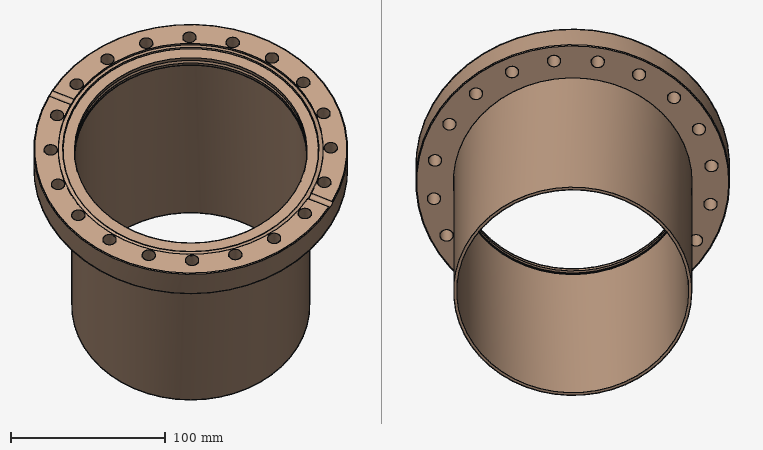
import cadquery as cq

total_height = 167.0
flange_diameter = 203.0
flange_thickness = 22.0
flange_chamfer = 0.6
flange_bottom = total_height - flange_thickness

recess_diameter = 171.3
recess_depth = 1.6
knife_edge_diameter = 165.9
knife_edge_depth = 0.6
seal_floor_diameter = 165.0
seal_floor_depth = 1.6

bore_diameter = 150.5
groove_diameter = 154.0
groove_top_depth = 4.5
groove_bottom_depth = 7.3

tube_outer_diameter = 154.0
tube_inner_diameter = 150.0
socket_diameter = 154.5
socket_shoulder_depth = 9.3

bolt_count = 20
bolt_circle_diameter = 181.0
bolt_hole_diameter = 8.5
bolt_pitch = 360 / bolt_count

leak_groove_width = 4.9
leak_groove_depth = 1.2
leak_groove_radius = (leak_groove_width**2 / 4 + leak_groove_depth**2) / (2 * leak_groove_depth)


def ring(outer_diameter, inner_diameter, bottom, top):
    """Plain ring about the Z axis."""
    return (
        cq.Workplane("XY")
        .workplane(offset=bottom)
        .circle(outer_diameter / 2)
        .circle(inner_diameter / 2)
        .extrude(top - bottom)
    )


def flange_blank():
    """Revolved flange with recess, knife edge, weld groove and tube socket."""
    outer_radius = flange_diameter / 2
    bore_radius = bore_diameter / 2
    socket_shoulder = total_height - socket_shoulder_depth
    profile = [
        (socket_diameter / 2, flange_bottom),
        (outer_radius - flange_chamfer, flange_bottom),
        (outer_radius, flange_bottom + flange_chamfer),
        (outer_radius, total_height - flange_chamfer),
        (outer_radius - flange_chamfer, total_height),
        (recess_diameter / 2, total_height),
        (recess_diameter / 2, total_height - recess_depth),
        (knife_edge_diameter / 2, total_height - knife_edge_depth),
        (seal_floor_diameter / 2, total_height - seal_floor_depth),
        (bore_radius, total_height - seal_floor_depth),
        (bore_radius, total_height - groove_top_depth),
        (groove_diameter / 2, total_height - groove_top_depth),
        (bore_radius, total_height - groove_bottom_depth),
        (bore_radius, socket_shoulder),
        (socket_diameter / 2, socket_shoulder),
    ]
    return cq.Workplane("XZ").polyline(profile).close().revolve(360, (0, 0, 0), (0, 1, 0))


def bolt_holes():
    """Through-hole cutters; the first sits half a pitch off the X axis."""
    return (
        cq.Workplane("XY")
        .workplane(offset=flange_bottom)
        .polarArray(bolt_circle_diameter / 2, bolt_pitch / 2, 360, bolt_count)
        .circle(bolt_hole_diameter / 2)
        .extrude(flange_thickness)
    )


def leak_grooves():
    """Round bar across the face, interrupted over the recess to spare the knife edge."""
    axis_height = total_height - leak_groove_depth + leak_groove_radius
    bar = (
        cq.Workplane("YZ")
        .center(0, axis_height)
        .circle(leak_groove_radius)
        .extrude(flange_diameter / 2, both=True)
    )
    recess_opening = (
        cq.Workplane("XY")
        .workplane(offset=flange_bottom)
        .circle(recess_diameter / 2)
        .extrude(flange_thickness + 2 * leak_groove_radius)
    )
    return bar.cut(recess_opening)


def make_flange():
    return flange_blank().cut(bolt_holes()).cut(leak_grooves())


def make_tube():
    """Tube standing in the socket, its end against the socket shoulder."""
    tube_top = total_height - socket_shoulder_depth
    return ring(tube_outer_diameter, tube_inner_diameter, 0, tube_top)


flange = make_flange()
tube = make_tube()

result = cq.Compound.makeCompound([flange.val(), tube.val()])